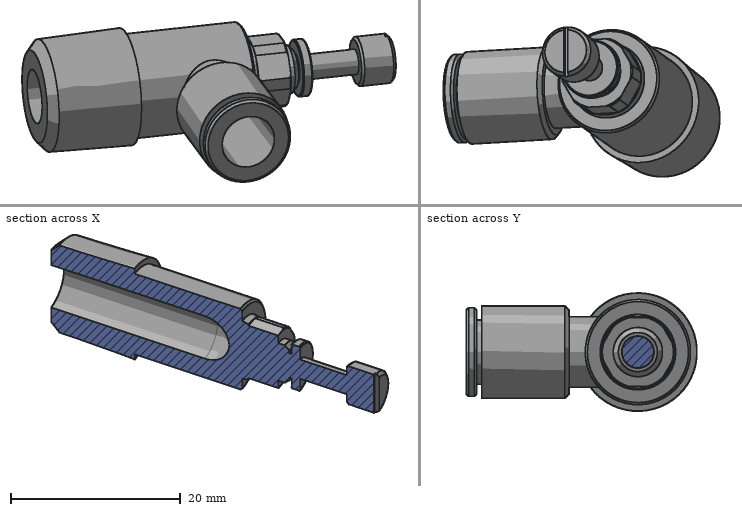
import cadquery as cq
import math


sleeve_front_y = -20.42
sleeve_length = 11.11
sleeve_max_radius = 6.97
sleeve_min_radius = 6.7
sleeve_chamfer_length = 1.1
sleeve_face_radius = 5.5
body_radius = 6.2
body_length = 14.3
body_edge_chamfer = 0.25

nut_base_height = 0.85
nut_base_radius = 4.45
nut_seat_radius = 4.25
nut_height = 3.95
nut_across_flats = 8.1
nut_corner_radius = 4.33
nut_corner_chamfer = 0.15

shoulder_radius = 2.9
shoulder_height = 0.85
shoulder_cone_height = 0.6
shoulder_cone_radius = 2.3
groove_radius = 1.9
groove_width = 0.25
flange_radius = 3.4
flange_thickness = 1.2
flange_chamfer = 0.15
rod_radius = 1.5
rod_length = 6.15
knob_radius = 2.95
knob_length = 4.25
knob_top_chamfer = 0.4
knob_bottom_chamfer = 0.3
slot_width = 0.5
slot_depth = 0.6

branch_neck_radius = 4.17
branch_body_start_x = 8.1
branch_body_end_x = 18.4
branch_body_radius = 5.45
branch_body_chamfer = 0.5
release_neck_radius = 3.8
release_ring_start_x = 18.97
release_ring_end_x = 20.24
release_ring_radius = 5.23
release_ring_chamfer = 0.3

bore_radius = 3.2

sleeve_back_y = sleeve_front_y + sleeve_length
body_back_y = sleeve_back_y + body_length
nut_front_y = body_back_y + nut_base_height
nut_back_y = nut_front_y + nut_height
shoulder_back_y = nut_back_y + shoulder_height
groove_front_y = shoulder_back_y + shoulder_cone_height
flange_front_y = groove_front_y + groove_width
flange_back_y = flange_front_y + flange_thickness
knob_front_y = flange_back_y + rod_length
knob_back_y = knob_front_y + knob_length


def cylinder_y(radius, start, end):
    return cq.Workplane("XZ", origin=(0, start, 0)).circle(radius).extrude(start - end)


def cylinder_x(radius, start, end):
    return cq.Workplane("YZ", origin=(start, 0, 0)).circle(radius).extrude(end - start)


def revolve_about_y(radius_station_pairs):
    """Revolve a closed (radius, y) outline about the main axis."""
    outline = cq.Workplane("XY").polyline(radius_station_pairs).close()
    return outline.revolve(360, (0, 0, 0), (0, 1, 0))


def make_sleeve():
    chamfer_end_y = sleeve_front_y + sleeve_chamfer_length
    return revolve_about_y([
        (0, sleeve_front_y),
        (sleeve_face_radius, sleeve_front_y),
        (sleeve_min_radius, chamfer_end_y),
        (sleeve_max_radius, sleeve_back_y),
        (0, sleeve_back_y),
    ])


def make_body():
    body = cylinder_y(body_radius, sleeve_back_y, body_back_y)
    return body.faces(">Y").chamfer(body_edge_chamfer)


def make_nut():
    base = revolve_about_y([
        (0, body_back_y),
        (nut_base_radius, body_back_y),
        (nut_seat_radius, nut_front_y),
        (0, nut_front_y),
    ])
    across_corners = nut_across_flats / math.cos(math.pi / 6)
    hexagon = (
        cq.Workplane("XZ", origin=(0, nut_front_y, 0))
        .polygon(6, across_corners)
        .extrude(-nut_height)
    )
    trim = cylinder_y(nut_corner_radius, nut_front_y, nut_back_y)
    trim = trim.faces(">Y").chamfer(nut_corner_chamfer)
    return base.union(hexagon.intersect(trim))


def make_needle():
    shoulder = revolve_about_y([
        (0, nut_back_y),
        (shoulder_radius, nut_back_y),
        (shoulder_radius, shoulder_back_y),
        (shoulder_cone_radius, groove_front_y),
        (0, groove_front_y),
    ])
    groove = cylinder_y(groove_radius, groove_front_y, flange_front_y)
    flange = cylinder_y(flange_radius, flange_front_y, flange_back_y)
    flange = flange.faces("<Y or >Y").chamfer(flange_chamfer)
    rod = cylinder_y(rod_radius, flange_back_y, knob_front_y)
    return shoulder.union(groove).union(flange).union(rod).union(make_knob())


def make_knob():
    knob = cylinder_y(knob_radius, knob_front_y, knob_back_y)
    knob = knob.faces(">Y").chamfer(knob_top_chamfer)
    knob = knob.faces("<Y").chamfer(knob_bottom_chamfer)
    slot = cq.Workplane("XY").box(slot_width, 2 * slot_depth, 2 * knob_radius)
    return knob.cut(slot.translate((0, knob_back_y, 0)))


def make_branch():
    neck = cylinder_x(branch_neck_radius, 0, branch_body_start_x)
    body = cylinder_x(branch_body_radius, branch_body_start_x, branch_body_end_x)
    body = body.faces("<X").chamfer(branch_body_chamfer)
    release_neck = cylinder_x(release_neck_radius, branch_body_end_x, release_ring_start_x)
    ring = cylinder_x(release_ring_radius, release_ring_start_x, release_ring_end_x)
    ring = ring.faces("<X or >X").chamfer(release_ring_chamfer)
    return neck.union(body).union(release_neck).union(ring)


def make_passage():
    """Right-angle bore with a spherical outer corner."""
    inlet = cylinder_y(bore_radius, sleeve_front_y, 0)
    outlet = cylinder_x(bore_radius, 0, release_ring_end_x)
    corner = cq.Workplane("XY").sphere(bore_radius)
    return inlet.union(outlet).union(corner)


result = make_sleeve().union(make_body()).union(make_nut()).union(make_needle())
result = result.union(make_branch()).cut(make_passage())